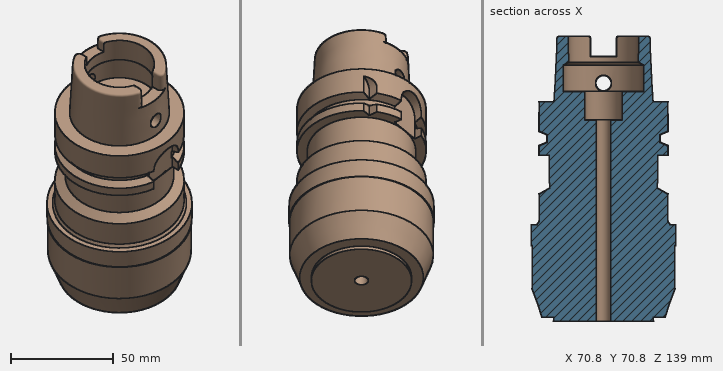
import cadquery as cq
import math

HEIGHT = 139.0
NOSE_RIM_Z = 2.0
NOSE_CONE_TOP_Z = 15.8
COLLAR_BOTTOM_Z = 36.8
COLLAR_TOP_Z = 47.1
COLLAR_CONE_TOP_Z = 48.6
SHOULDER_Z = 62.1
NECK_BOTTOM_Z = 64.9
FLANGE_BOTTOM_Z = 80.9
GROOVE_BOTTOM_Z = 87.3
GROOVE_TOP_Z = 90.9
GROOVE_LEAD = 1.7
FLANGE_TOP_Z = 107.0

NOSE_RIM_RADIUS = 24.5
NOSE_RADIUS = 30.2
SLEEVE_RADIUS = 35.0
COLLAR_RADIUS = 35.38
COLLAR_CONE_RADIUS = 32.7
FLANGE_RADIUS = 31.5
NECK_RADIUS = 26.48
GROOVE_RADIUS = 27.7
SHANK_BASE_RADIUS = 24.3
SHANK_TOP_RADIUS = 22.8
SHANK_RIM_ROUND = 1.1

MOUTH_RADIUS = 17.0
UNDERCUT_RADIUS = 19.5
UNDERCUT_TOP_Z = 126.2
UNDERCUT_LEAD = 1.4
CAVITY_FLOOR_Z = 112.0
COUNTERBORE_RADIUS = 8.97
COUNTERBORE_DEPTH = 13.9
COOLANT_RADIUS = 3.3

CROSS_HOLE_RADIUS = 3.8
CROSS_HOLE_Z = 116.0
NOTCH_WIDTH = 12.6
NOTCH_DEPTHS = {-1: 6.0, 1: 9.9}
NOTCH_CORNER_ROUND = 2.4

SLOT_FLOOR = NECK_RADIUS
SLOT_TOP_Z = 102.0
SLOT_WIDTHS = {-1: 16.0, 1: 18.0}
CORNER_CUT_FLOOR = 19.9
CORNER_CUT_RADIUS = 6.7
CORNER_CUT_CENTER_Z = 96.2


def make_body():
    """Turned outside of the holder."""
    profile = [
        (0, 0),
        (NOSE_RIM_RADIUS, 0),
        (NOSE_RIM_RADIUS, NOSE_RIM_Z),
        (NOSE_RADIUS, NOSE_RIM_Z),
        (SLEEVE_RADIUS, NOSE_CONE_TOP_Z),
        (SLEEVE_RADIUS, COLLAR_BOTTOM_Z),
        (COLLAR_RADIUS, COLLAR_BOTTOM_Z),
        (COLLAR_RADIUS, COLLAR_TOP_Z),
        (COLLAR_CONE_RADIUS, COLLAR_TOP_Z),
        (FLANGE_RADIUS, COLLAR_CONE_TOP_Z),
        (FLANGE_RADIUS, SHOULDER_Z),
        (NECK_RADIUS, NECK_BOTTOM_Z),
        (NECK_RADIUS, FLANGE_BOTTOM_Z),
        (FLANGE_RADIUS, FLANGE_BOTTOM_Z),
        (FLANGE_RADIUS, GROOVE_BOTTOM_Z - GROOVE_LEAD),
        (GROOVE_RADIUS, GROOVE_BOTTOM_Z),
        (GROOVE_RADIUS, GROOVE_TOP_Z),
        (FLANGE_RADIUS, GROOVE_TOP_Z + GROOVE_LEAD),
        (FLANGE_RADIUS, FLANGE_TOP_Z),
        (SHANK_BASE_RADIUS, FLANGE_TOP_Z),
        (SHANK_TOP_RADIUS, HEIGHT),
        (0, HEIGHT),
    ]
    return cq.Workplane("XZ").polyline(profile).close().revolve(360, (0, 0), (0, 1))


def make_bores():
    """Undercut shank cavity, counterbore and coolant hole as one turned cutter."""
    counterbore_floor = CAVITY_FLOOR_Z - COUNTERBORE_DEPTH
    profile = [
        (0, 0),
        (COOLANT_RADIUS, 0),
        (COOLANT_RADIUS, counterbore_floor),
        (COUNTERBORE_RADIUS, counterbore_floor),
        (COUNTERBORE_RADIUS, CAVITY_FLOOR_Z),
        (UNDERCUT_RADIUS, CAVITY_FLOOR_Z),
        (UNDERCUT_RADIUS, UNDERCUT_TOP_Z - UNDERCUT_LEAD),
        (MOUTH_RADIUS, UNDERCUT_TOP_Z),
        (MOUTH_RADIUS, HEIGHT),
        (0, HEIGHT),
    ]
    return cq.Workplane("XZ").polyline(profile).close().revolve(360, (0, 0), (0, 1))


def make_cross_hole():
    """Radial hole through both walls of the shank."""
    hole = cq.Workplane("YZ").center(0, CROSS_HOLE_Z).circle(CROSS_HOLE_RADIUS)
    return hole.extrude(FLANGE_RADIUS, both=True)


def cut_shank_notches(body):
    """Notch the shank wall on both X sides and round the corners where the notches open outward."""
    for side, depth in NOTCH_DEPTHS.items():
        notch = cq.Workplane("XY", origin=(side * FLANGE_RADIUS / 2, 0, HEIGHT - depth))
        body = body.cut(notch.rect(FLANGE_RADIUS, NOTCH_WIDTH).extrude(depth))
        corner_x = math.sqrt(SHANK_TOP_RADIUS**2 - (NOTCH_WIDTH / 2) ** 2)
        for corner_y in (-NOTCH_WIDTH / 2, NOTCH_WIDTH / 2):
            corner = (side * corner_x, corner_y, HEIGHT - depth / 2)
            body = body.edges(cq.selectors.NearestToPointSelector(corner)).fillet(NOTCH_CORNER_ROUND)
    return body


def round_shank_rim(body):
    """Round the outer edges of the shank end face."""
    reach = SHANK_TOP_RADIUS - SHANK_RIM_ROUND
    rim = body.faces(">Z").edges("%CIRCLE").filter(lambda edge: edge.radius() > reach)
    return rim.fillet(SHANK_RIM_ROUND)


def make_arched_cutter(side, floor, center_y, center_z, radius):
    """Round-topped cutter down to the flange bottom, outward from a flat floor at X = side * floor."""
    return (
        cq.Workplane("YZ", origin=(side * floor, 0, 0))
        .moveTo(center_y - radius, FLANGE_BOTTOM_Z)
        .lineTo(center_y - radius, center_z)
        .threePointArc((center_y, center_z + radius), (center_y + radius, center_z))
        .lineTo(center_y + radius, FLANGE_BOTTOM_Z)
        .close()
        .extrude(side * FLANGE_RADIUS)
    )


def make_drive_slot(side, width):
    """Drive slot in the flange, its floor tangent to the neck."""
    radius = width / 2
    return make_arched_cutter(side, SLOT_FLOOR, 0, SLOT_TOP_Z - radius, radius)


def make_corner_cut():
    """Square orientation cut in the flange, midway between -X and +Y."""
    center_y = CORNER_CUT_FLOOR + CORNER_CUT_RADIUS
    return make_arched_cutter(-1, CORNER_CUT_FLOOR, center_y, CORNER_CUT_CENTER_Z, CORNER_CUT_RADIUS)


result = make_body().cut(make_bores())
result = round_shank_rim(cut_shank_notches(result))
result = result.cut(make_cross_hole())
for side, width in SLOT_WIDTHS.items():
    result = result.cut(make_drive_slot(side, width))
result = result.cut(make_corner_cut())